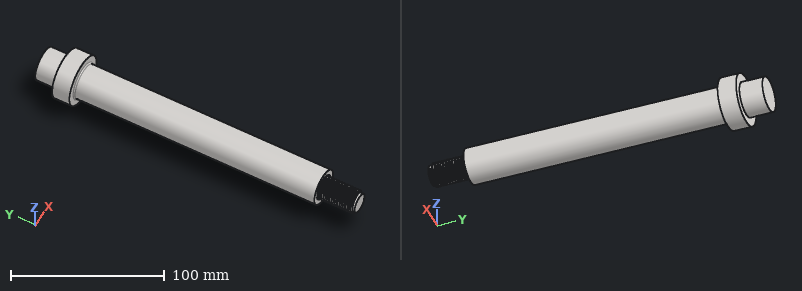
import cadquery as cq

total_length = 236.0
head_length = 16.0
collar_length = 13.0
protruding_length = 27.0
sleeve_start = protruding_length
sleeve_end = total_length - head_length
collar_start = sleeve_end - collar_length

collar_diameter = 36.0
tube_diameter = 25.0
bore_diameter = 17.7
fillet_radius = 1.0

head_diameter = 24.0
thread_diameter = 16.0
thread_pitch = 2.0
thread_depth = 1.23
crest_width = thread_pitch / 8
ridge_base_width = thread_pitch - crest_width
ridge_overlap = 0.12
tip_gap = 0.5
runout_gap = 0.5
hidden_turns = 2
threaded_length = protruding_length + hidden_turns * thread_pitch
root_radius = thread_diameter / 2 - thread_depth


def cylinder(diameter, start, end):
    """Solid cylinder on the Y axis, between two stations."""
    base = cq.Workplane("XZ", origin=(0, start, 0))
    return base.circle(diameter / 2).extrude(start - end)


def make_sleeve():
    """Tube with a filleted collar at its +Y end, bored through for the screw."""
    bore_radius = bore_diameter / 2
    tube_radius = tube_diameter / 2
    collar_radius = collar_diameter / 2
    half_section = (
        cq.Workplane("XY")
        .moveTo(bore_radius, sleeve_start)
        .lineTo(tube_radius, sleeve_start)
        .lineTo(tube_radius, collar_start - fillet_radius)
        .tangentArcPoint((fillet_radius, fillet_radius))
        .lineTo(collar_radius, collar_start)
        .lineTo(collar_radius, sleeve_end)
        .lineTo(bore_radius, sleeve_end)
        .close()
    )
    return half_section.revolve(360, (0, 0, 0), (0, 1, 0))


def make_thread_ridge():
    """Right-hand helical ridge with a trapezoidal section, wound on the thread core."""
    first_turn = tip_gap + ridge_base_width / 2
    last_turn = threaded_length - runout_gap - ridge_base_width / 2
    helix = cq.Wire.makeHelix(thread_pitch, last_turn - first_turn, root_radius)
    foot_radius = root_radius - ridge_overlap
    crest_radius = thread_diameter / 2
    section = (
        cq.Workplane("XZ")
        .moveTo(foot_radius, -ridge_base_width / 2)
        .lineTo(crest_radius, -crest_width / 2)
        .lineTo(crest_radius, crest_width / 2)
        .lineTo(foot_radius, ridge_base_width / 2)
        .close()
    )
    ridge = section.sweep(cq.Workplane(obj=helix), isFrenet=True)
    return ridge.rotate((0, 0, 0), (1, 0, 0), -90).translate((0, first_turn, 0))


def make_screw():
    """Cylindrical head, plain shank and threaded end, as one solid."""
    head = cylinder(head_diameter, sleeve_end, total_length)
    shank = cylinder(thread_diameter, threaded_length, sleeve_end)
    core = cylinder(2 * root_radius, 0, threaded_length)
    return head.union(shank).union(core).union(make_thread_ridge())


sleeve = make_sleeve()
screw = make_screw()

result = cq.Compound.makeCompound([sleeve.val(), screw.val()])